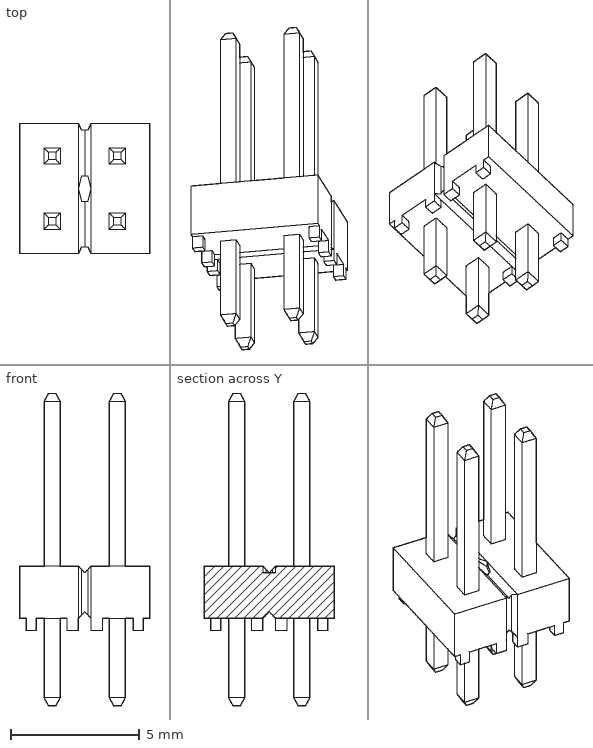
import cadquery as cq
import math


block_side = 5.08
block_height = 2.04
pitch = block_side / 2

groove_half_width = 0.24
groove_depth = 0.25
end_notch_floor_half_width = 0.12
pocket_half_length = 0.5

foot_height = 0.48
foot_depth = 0.41
outer_foot_width = 0.4
outer_foot_inset = 0.25
inner_foot_width = 0.45

total_height = 12.19
pin_side = 0.63
pin_tip_side = 0.29
pin_tip_length = 0.32
pin_length_below_block = 3.41

half_side = block_side / 2


def make_block():
    return cq.Workplane("XY").box(block_side, block_side, block_height, centered=(True, True, False))


def make_v_groove(face_z, apex_z):
    """V-shaped prism along Y, widest on a block face and pointed inside the block."""
    outline = [(-groove_half_width, face_z), (groove_half_width, face_z), (0, apex_z)]
    return cq.Workplane("XZ").polyline(outline).close().extrude(half_side, both=True)


def make_end_notch(side):
    """Tapered upright notch at one end of the groove; side is -1 or 1 along Y."""
    end_y = side * half_side
    floor_y = side * (half_side - groove_depth)
    outline = [
        (-groove_half_width, end_y),
        (-end_notch_floor_half_width, floor_y),
        (end_notch_floor_half_width, floor_y),
        (groove_half_width, end_y),
    ]
    return cq.Workplane("XY").polyline(outline).close().extrude(block_height)


def make_centre_pocket():
    """Six-sided pocket in the top groove, with its floor level with the groove apex."""
    outline = [
        (-groove_half_width, 0),
        (-end_notch_floor_half_width, pocket_half_length),
        (end_notch_floor_half_width, pocket_half_length),
        (groove_half_width, 0),
        (end_notch_floor_half_width, -pocket_half_length),
        (-end_notch_floor_half_width, -pocket_half_length),
    ]
    floor = cq.Workplane("XY").workplane(offset=block_height - groove_depth)
    return floor.polyline(outline).close().extrude(groove_depth)


def make_feet(width, centre_x):
    """Four equal feet, mirrored about both centre planes and flush with the block ends."""
    centre_y = half_side - foot_depth / 2
    centres = [(x, y) for x in (-centre_x, centre_x) for y in (-centre_y, centre_y)]
    return cq.Workplane("XY").pushPoints(centres).rect(width, foot_depth).extrude(-foot_height)


def make_pin():
    """One pin on the Z axis: a square shaft with a truncated pyramid at each end."""
    bottom_z = -pin_length_below_block
    top_z = bottom_z + total_height
    lower_shoulder_z = bottom_z + pin_tip_length
    upper_shoulder_z = top_z - pin_tip_length
    shaft_length = upper_shoulder_z - lower_shoulder_z
    tip_taper = math.degrees(math.atan2((pin_side - pin_tip_side) / 2, pin_tip_length))
    shaft = cq.Workplane("XY").rect(pin_side, pin_side).extrude(shaft_length)
    shaft = shaft.translate((0, 0, lower_shoulder_z))
    upper_tip = cq.Workplane("XY").rect(pin_side, pin_side).extrude(pin_tip_length, taper=tip_taper)
    lower_tip = upper_tip.mirror("XY")
    shaft = shaft.union(upper_tip.translate((0, 0, upper_shoulder_z)))
    shaft = shaft.union(lower_tip.translate((0, 0, lower_shoulder_z)))
    return shaft


body = make_block()
body = body.cut(make_v_groove(block_height, block_height - groove_depth))
body = body.cut(make_v_groove(0, groove_depth))
body = body.cut(make_centre_pocket())
for end in (-1, 1):
    body = body.cut(make_end_notch(end))

outer_foot_x = half_side - outer_foot_inset - outer_foot_width / 2
inner_foot_x = groove_half_width + inner_foot_width / 2
body = body.union(make_feet(outer_foot_width, outer_foot_x))
body = body.union(make_feet(inner_foot_width, inner_foot_x))

pin = make_pin()
for pin_x in (-pitch / 2, pitch / 2):
    for pin_y in (-pitch / 2, pitch / 2):
        body = body.union(pin.translate((pin_x, pin_y, 0)))

result = body